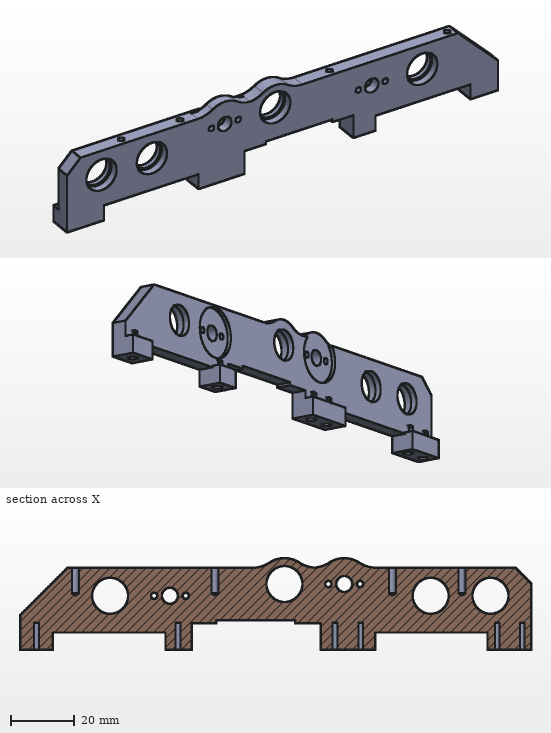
import cadquery as cq
import math


length = 161.5
thickness = 8.0
foot_overhang = 2.9
top_z = 26.0
end_y = length / 2
bar_thickness = thickness - foot_overhang

bar_bottom_z = 5.5
foot_top_z = 6.0
middle_bottom_z = 8.4
relief_z = 9.4
relief_y = (-6.1, 18.7)
inner_feet_y = [(-31.5, -14.2), (26.5, 34.9)]
feet_y = [(-end_y, -66.9), *inner_feet_y, (70.4, end_y)]

long_chamfer = 15.0
short_chamfer = 5.0

bump_z = 20.8
bump_radius = 8.2
bump_blend_radius = 10.0
plain_bump_y = -2.7
seat_bump_y = -21.6

large_hole_diameter = 10.0
low_hole_z = 17.1
large_bore_diameter = 11.3
large_hole_lip = 2.1
large_holes = [(-67.8, low_hole_z), (-49.0, low_hole_z), (plain_bump_y, bump_z), (52.3, low_hole_z)]

seats = [(seat_bump_y, bump_z), (33.5, low_hole_z)]
seat_radius = 8.2
seat_depth = 1.3
shaft_hole_diameter = 5.0
pin_hole_diameter = 2.0
pin_offset = 5.0

drill_tip_angle = 118.0

top_hole_diameter = 2.1
top_hole_depth = 8.0
top_hole_x = foot_overhang + bar_thickness / 2
top_holes_y = [-58.8, -36.8, 19.2, 63.3]

foot_hole_diameter = 3.2
foot_hole_depth = 8.5
foot_holes_y = [-77.8, -70.0, -26.8, -18.7, 30.8, 75.6]


def cylinder_x(y, z, radius, start_x, depth):
    return cq.Workplane("YZ", origin=(start_x, y, z)).circle(radius).extrude(depth)


def drilled_hole(x, y, diameter, start_z, depth, direction):
    radius = diameter / 2
    tip_length = radius / math.tan(math.radians(drill_tip_angle / 2))
    return (
        cq.Workplane("XZ", origin=(x, y, start_z))
        .lineTo(radius, 0)
        .lineTo(radius, direction * depth)
        .lineTo(0, direction * (depth + tip_length))
        .close()
        .revolve(360, (0, 0, 0), (0, 1, 0))
    )


def make_bar():
    middle_start_y = inner_feet_y[0][1]
    middle_end_y = inner_feet_y[1][0]
    outline = [
        (-end_y, bar_bottom_z),
        (middle_start_y, bar_bottom_z),
        (middle_start_y, middle_bottom_z),
        (relief_y[0], middle_bottom_z),
        (relief_y[0], relief_z),
        (relief_y[1], relief_z),
        (relief_y[1], middle_bottom_z),
        (middle_end_y, middle_bottom_z),
        (middle_end_y, bar_bottom_z),
        (end_y, bar_bottom_z),
        (end_y, top_z - long_chamfer),
        (end_y - long_chamfer, top_z),
        (-end_y + short_chamfer, top_z),
        (-end_y, top_z - short_chamfer),
    ]
    return cq.Workplane("YZ", origin=(foot_overhang, 0, 0)).polyline(outline).close().extrude(bar_thickness)


def make_foot(y_min, y_max):
    return cq.Workplane("XY").box(thickness, y_max - y_min, foot_top_z, centered=False).translate((0, y_min, 0))


def make_bump(y, front_x):
    centre_distance = bump_radius + bump_blend_radius
    blend_rise = top_z + bump_blend_radius - bump_z
    angle = math.acos(blend_rise / centre_distance)
    blend_offset = centre_distance * math.sin(angle)
    blend_z = top_z + bump_blend_radius
    tangent_y = bump_radius * math.sin(angle)
    tangent_z = bump_z + bump_radius * math.cos(angle)
    mid_y = blend_offset - bump_blend_radius * math.sin(angle / 2)
    mid_z = blend_z - bump_blend_radius * math.cos(angle / 2)
    return (
        cq.Workplane("YZ", origin=(front_x, y, 0))
        .moveTo(-blend_offset, bump_z)
        .lineTo(-blend_offset, top_z)
        .threePointArc((-mid_y, mid_z), (-tangent_y, tangent_z))
        .threePointArc((0, bump_z + bump_radius), (tangent_y, tangent_z))
        .threePointArc((mid_y, mid_z), (blend_offset, top_z))
        .lineTo(blend_offset, bump_z)
        .close()
        .extrude(thickness - front_x)
    )


def cut_large_hole(body, y, z):
    bore_x = foot_overhang + large_hole_lip
    body = body.cut(cylinder_x(y, z, large_hole_diameter / 2, 0, thickness))
    return body.cut(cylinder_x(y, z, large_bore_diameter / 2, bore_x, thickness - bore_x))


def cut_seat(body, y, z):
    body = body.cut(cylinder_x(y, z, seat_radius, foot_overhang, seat_depth))
    body = body.cut(cylinder_x(y, z, shaft_hole_diameter / 2, 0, thickness))
    for offset in (-pin_offset, pin_offset):
        body = body.cut(cylinder_x(y + offset, z, pin_hole_diameter / 2, 0, thickness))
    return body


result = make_bar()
for y_min, y_max in feet_y:
    result = result.union(make_foot(y_min, y_max))
result = result.union(make_bump(plain_bump_y, foot_overhang))
result = result.union(make_bump(seat_bump_y, foot_overhang + seat_depth))
for y, z in large_holes:
    result = cut_large_hole(result, y, z)
for y, z in seats:
    result = cut_seat(result, y, z)
for y in top_holes_y:
    result = result.cut(drilled_hole(top_hole_x, y, top_hole_diameter, top_z, top_hole_depth, -1))
for y in foot_holes_y:
    result = result.cut(drilled_hole(thickness / 2, y, foot_hole_diameter, 0, foot_hole_depth, 1))